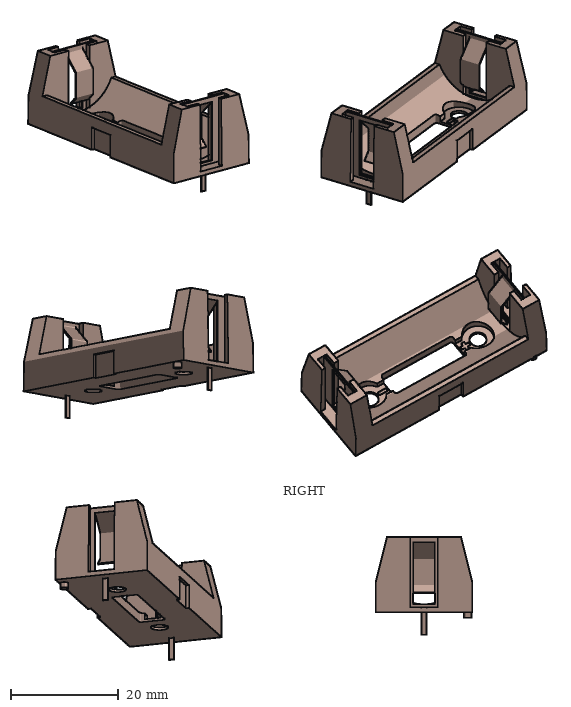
import cadquery as cq
import math

LENGTH = 43.0
WIDTH = 18.0
HEIGHT = 14.0
TOP_LENGTH = 42.45
TOP_WIDTH = 13.8
SHOULDER_Z = 5.6
RAIL_Z = 6.5
TOWER_INNER_X = 17.5

TROUGH_RADIUS = 8.5
TROUGH_AXIS_Z = 10.0

WINDOW_LENGTH = 16.05
WINDOW_WIDTH = 5.07
WINDOW_CORNER_RADIUS = 0.5
SCREW_X = 12.13
SCREW_HOLE_DIAMETER = 3.2
SCREW_SEAT_DIAMETER = 6.0
SCREW_SEAT_Z = 0.5
CHANNEL_WIDTH = 3.0

MARK_X = 9.3
MARK_LENGTH = 1.8
MARK_STROKE = 0.7
MARK_HEIGHT = 0.1

SLOT_OUTER_X = 20.45
SLOT_INNER_X = 18.5
SLOT_WIDTH = 10.0
SLOT_FLOOR_Z = 0.9
TOWER_GAP_WIDTH = 5.07

RECESS_LENGTH = 5.38
RECESS_HEIGHT = 4.45
RECESS_DEPTH = 0.6
PEG_DIAMETER = 1.5
PEG_LENGTH = 1.05
PEG_X = -18.9
PEG_Y = 8.13

SHEET = 0.25
PLATE_BACK_X = 19.18
PLATE_WINDOW_BOTTOM_Z = 1.45
TONGUE_WIDTH = 4.1
TONGUE_TOP_Z = 13.05
TONGUE_REACH = 3.1
TONGUE_LOWER_BEND_Z = 5.07
TONGUE_END_Z = 3.7
BEND_INNER_RADIUS = 0.3
BEND_OUTER_RADIUS = BEND_INNER_RADIUS + SHEET
PIN_WIDTH = 1.0
PIN_END_Z = -4.15


def box_between(x_range, y_width, z_range):
    """Box between two X and two Z values, centred on Y = 0."""
    x0, x1 = x_range
    z0, z1 = z_range
    corner_plane = cq.Workplane("XY", origin=(x0, 0, z0))
    return corner_plane.box(x1 - x0, y_width, z1 - z0, centered=(False, True, False))


def housing_blank():
    """Block whose end outline and side outline both narrow towards the top."""
    end_outline = (
        cq.Workplane("YZ")
        .polyline([
            (-WIDTH / 2, 0),
            (WIDTH / 2, 0),
            (WIDTH / 2, SHOULDER_Z),
            (TOP_WIDTH / 2, HEIGHT),
            (-TOP_WIDTH / 2, HEIGHT),
            (-WIDTH / 2, SHOULDER_Z),
        ])
        .close()
        .extrude(LENGTH / 2, both=True)
    )
    side_outline = (
        cq.Workplane("XZ")
        .polyline([
            (-LENGTH / 2, 0),
            (LENGTH / 2, 0),
            (TOP_LENGTH / 2, HEIGHT),
            (TOWER_INNER_X, HEIGHT),
            (TOWER_INNER_X, RAIL_Z),
            (-TOWER_INNER_X, RAIL_Z),
            (-TOWER_INNER_X, HEIGHT),
            (-TOP_LENGTH / 2, HEIGHT),
        ])
        .close()
        .extrude(WIDTH / 2, both=True)
    )
    return end_outline.intersect(side_outline)


def trough_cut():
    """Cylinder the battery lies in, between the tower faces."""
    return (
        cq.Workplane("YZ")
        .center(0, TROUGH_AXIS_Z)
        .circle(TROUGH_RADIUS)
        .extrude(TOWER_INNER_X, both=True)
    )


def floor_window_cut():
    """Rounded rectangular window through the trough floor."""
    window = box_between((-WINDOW_LENGTH / 2, WINDOW_LENGTH / 2), WINDOW_WIDTH, (0, RAIL_Z))
    return window.edges("|Z").fillet(WINDOW_CORNER_RADIUS)


def screw_seat_cut():
    """Screw hole at +X with its flat seat and the channel to the window."""
    hole = cq.Workplane("XY").center(SCREW_X, 0).circle(SCREW_HOLE_DIAMETER / 2).extrude(RAIL_Z)
    seat = (
        cq.Workplane("XY", origin=(SCREW_X, 0, SCREW_SEAT_Z))
        .circle(SCREW_SEAT_DIAMETER / 2)
        .extrude(RAIL_Z - SCREW_SEAT_Z)
    )
    channel = box_between((0, SCREW_X), CHANNEL_WIDTH, (SCREW_SEAT_Z, RAIL_Z))
    return hole.union(seat).union(channel)


def polarity_bar(x, length, width):
    """One stroke of a polarity mark."""
    return box_between((x - length / 2, x + length / 2), width, (SCREW_SEAT_Z, SCREW_SEAT_Z + MARK_HEIGHT))


def polarity_marks():
    """Minus bar at +X and the two crossed bars of the plus at -X."""
    return [
        polarity_bar(MARK_X, MARK_LENGTH, MARK_STROKE),
        polarity_bar(-MARK_X, MARK_LENGTH, MARK_STROKE),
        polarity_bar(-MARK_X, MARK_STROKE, MARK_LENGTH),
    ]


def contact_slot_cut():
    """Slot at +X for the contact plate, with the gap through the tower and the pin hole."""
    slot = box_between((SLOT_INNER_X, SLOT_OUTER_X), SLOT_WIDTH, (SLOT_FLOOR_Z, HEIGHT))
    gap = box_between((TOWER_INNER_X, LENGTH / 2), TOWER_GAP_WIDTH, (SLOT_FLOOR_Z, HEIGHT))
    return slot.union(gap).union(contact_pin())


def side_recess_cut():
    """Shallow recess low in the middle of the -Y side face."""
    recess_x = (-RECESS_LENGTH / 2, RECESS_LENGTH / 2)
    recess = box_between(recess_x, 2 * RECESS_DEPTH, (0, RECESS_HEIGHT))
    return recess.translate((0, -WIDTH / 2, 0))


def locating_peg():
    """Round peg under the housing near its -X, +Y corner."""
    return cq.Workplane("XY").center(PEG_X, PEG_Y).circle(PEG_DIAMETER / 2).extrude(-PEG_LENGTH)


def at_both_ends(shape):
    """The shape and its half-turn copy about Z."""
    return [shape, shape.rotate((0, 0, 0), (0, 0, 1), 180)]


def make_housing():
    """Trough with end towers, floor openings, side recesses, marks and peg."""
    body = housing_blank().cut(trough_cut()).cut(floor_window_cut())
    for feature in (screw_seat_cut(), contact_slot_cut(), side_recess_cut()):
        for cutter in at_both_ends(feature):
            body = body.cut(cutter)
    for bar in polarity_marks():
        body = body.union(bar)
    return body.union(locating_peg())


def contact_pin():
    """Solder pin at +X, from the slot floor down through the housing."""
    return box_between((PLATE_BACK_X - SHEET, PLATE_BACK_X), PIN_WIDTH, (PIN_END_Z, SLOT_FLOOR_Z))


def contact_tongue():
    """Spring tongue at +X: 45 degrees inward, straight down, then 45 degrees back outward."""
    bend_angle = math.radians(45)
    miter = SHEET * math.tan(bend_angle / 2)
    end_step = SHEET * math.sin(bend_angle)
    bend_x = PLATE_BACK_X - TONGUE_REACH
    upper_bend_z = TONGUE_TOP_Z - TONGUE_REACH
    end_x = bend_x + TONGUE_LOWER_BEND_Z - TONGUE_END_Z
    root_front = (PLATE_BACK_X - SHEET, TONGUE_TOP_Z + miter)
    upper_back = (bend_x, upper_bend_z)
    upper_front = (bend_x - SHEET, upper_bend_z + miter)
    lower_back = (bend_x, TONGUE_LOWER_BEND_Z)
    lower_front = (bend_x - SHEET, TONGUE_LOWER_BEND_Z - miter)
    strip = (
        cq.Workplane("XZ")
        .polyline([
            (PLATE_BACK_X, HEIGHT),
            (PLATE_BACK_X, TONGUE_TOP_Z),
            upper_back,
            lower_back,
            (end_x, TONGUE_END_Z),
            (end_x - end_step, TONGUE_END_Z - end_step),
            lower_front,
            upper_front,
            root_front,
            (PLATE_BACK_X - SHEET, HEIGHT),
        ])
        .close()
        .extrude(TONGUE_WIDTH / 2, both=True)
    )
    bends = [
        (root_front, BEND_OUTER_RADIUS),
        (upper_back, BEND_INNER_RADIUS),
        (upper_front, BEND_OUTER_RADIUS),
        (lower_back, BEND_INNER_RADIUS),
        (lower_front, BEND_OUTER_RADIUS),
    ]
    for (x, z), radius in bends:
        strip = strip.edges(cq.NearestToPointSelector((x, 0, z))).fillet(radius)
    return strip


def make_contact():
    """Contact at +X: framed plate with a spring tongue and a solder pin."""
    sheet_x = (PLATE_BACK_X - SHEET, PLATE_BACK_X)
    plate = box_between(sheet_x, SLOT_WIDTH, (SLOT_FLOOR_Z, HEIGHT))
    window = box_between(sheet_x, TONGUE_WIDTH, (PLATE_WINDOW_BOTTOM_Z, TONGUE_TOP_Z))
    return plate.cut(window).union(contact_tongue()).union(contact_pin())


housing = make_housing()
contacts = at_both_ends(make_contact())

result = cq.Compound.makeCompound([housing.val(), *[contact.val() for contact in contacts]])